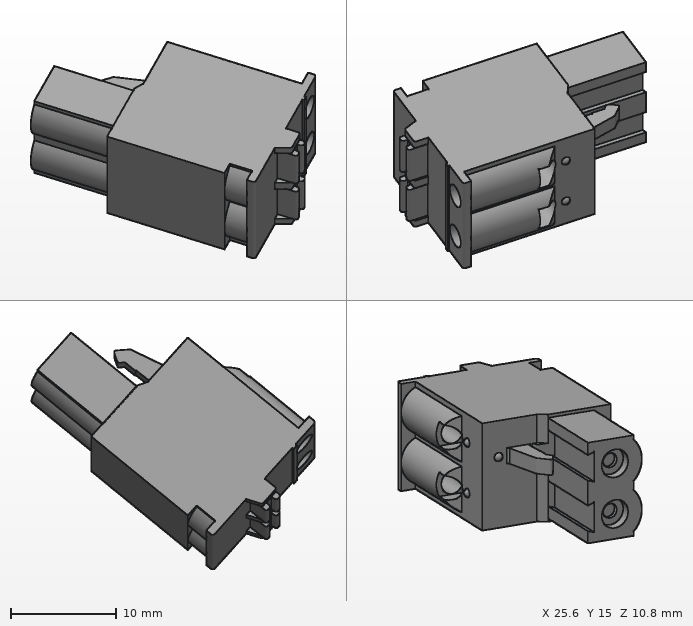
import cadquery as cq


total_length = 25.6
total_width = 15.0
total_height = 10.78
pole_offset = 2.53
pole_heights = (-pole_offset, pole_offset)

block_front = 8.27
block_back = 23.53
block_top = 13.47
step_front = 8.8
step_start = 6.7
step_end = 7.63
flange_thickness = 0.85
flange_front = block_back - flange_thickness
flange_round = 0.28

nose_height = 10.1
nose_flat = 1.8
nose_top = step_start
nose_barrel_radius = 2.9
bore_center = 3.81
bore_radius = 1.4
bore_depth = 1.02
contact_radius = 0.72
contact_depth = 0.45
key_depth = 0.7
key_mouth_width = 2.55
key_floor_width = 3.02

recess_front = 20.38
recess_depth = 1.3
cable_barrel_radius = 2.87
cable_barrel_shift = 0.18

screw_barrel_radius = 2.48
screw_barrel_center = total_width - screw_barrel_radius
ramp_start = 13.03
opening_radius = 1.2
opening_center = 14.15
tool_hole_radius = 1.15
tool_hole_center = 13.3

latch_width = 1.55
latch_center = 1.75
latch_root_top = 10.85
latch_root_flare = 0.2
latch_crest = (4.85, 9.73)
latch_tip = (3.69, 8.58)
latch_barb = (4.85, 7.9)
latch_throat = (5.25, 8.4)
latch_notch = 6.58
latch_underside = 8.47
latch_foot = (block_front, 7.85)
latch_seat = step_front + 0.25
latch_relief_radius = 0.3
latch_relief_offset = 0.28
latch_relief_center = 8.22
latch_round = 0.2

bump_radius = 0.45
bump_height = 0.33
screw_side_bump_place = 11.88
front_bump_place = 11.72
rib_place = 11.83
rib_width = 0.45
rib_height = 0.18

boss_back = 25.0
boss_bottom = 4.86
boss_slope_end = 5.48
boss_top = 7.55
boss_round = 0.2
lever_width = 3.95
lever_gap = 0.1
lever_bottom = 5.4
lever_top = 7.48
lever_round = 0.23
fork_root_bottom = 6.1
fork_root_top = 6.78
fork_flare = 0.1


def box(x_range, y_range, z_range):
    """Box between the given limits along each axis."""
    sizes = [high - low for low, high in (x_range, y_range, z_range)]
    return (
        cq.Workplane("XY")
        .box(*sizes, centered=False)
        .translate((x_range[0], y_range[0], z_range[0]))
    )


def plate(outline, height, center=0.0):
    """Straight-sided XY outline extruded along Z, centred on the given height."""
    profile = cq.Workplane("XY").polyline(outline).close()
    return profile.extrude(height / 2, both=True).translate((0, 0, center))


def rod_along_x(radius, start, end, y, z):
    """Cylinder along X between two X positions."""
    return cq.Workplane("YZ", origin=(start, y, z)).circle(radius).extrude(end - start)


def main_block():
    """Block with a stepped front and a flange at its back."""
    outline = [
        (block_front, 0),
        (block_back, 0),
        (block_back, total_width),
        (flange_front, total_width),
        (flange_front, block_top),
        (step_front, block_top),
        (step_front, step_end),
        (block_front, step_start),
    ]
    block = plate(outline, total_height)
    return block.edges("|Z and >X").fillet(flange_round)


def plug_nose():
    """Flat-topped nose whose lower side bulges into one round barrel per pole."""
    half_height = nose_height / 2
    nose = box((0, block_front), (nose_flat, nose_top), (-half_height, half_height))
    for z in pole_heights:
        nose = nose.union(rod_along_x(nose_barrel_radius, 0, block_front, bore_center, z))
    return nose.intersect(box((0, block_front), (0, nose_top), (-half_height, half_height)))


def contact_bore(z):
    """Stepped blind bore in the nose end."""
    bore = rod_along_x(bore_radius, 0, bore_depth, bore_center, z)
    return bore.union(rod_along_x(contact_radius, 0, bore_depth + contact_depth, bore_center, z))


def key_groove(z):
    """Dovetail groove along the nose, narrower at its mouth."""
    floor = nose_top - key_depth
    outline = [
        (nose_top, z - key_mouth_width / 2),
        (nose_top, z + key_mouth_width / 2),
        (floor, z + key_floor_width / 2),
        (floor, z - key_floor_width / 2),
    ]
    return cq.Workplane("YZ").polyline(outline).close().extrude(block_front)


def cable_recess():
    """Recess across the cable side, leaving a round barrel standing at each pole."""
    half_height = total_height / 2
    recess = box((recess_front, flange_front), (0, recess_depth), (-half_height, half_height))
    for z in pole_heights:
        recess = recess.cut(
            rod_along_x(
                cable_barrel_radius, recess_front, flange_front, cable_barrel_radius, z + cable_barrel_shift
            )
        )
    return recess


def screw_barrel(z):
    """Half-sunk barrel in front of the flange, with a 45 degree ramp at its front end."""
    barrel = rod_along_x(screw_barrel_radius, ramp_start, flange_front, screw_barrel_center, z)
    rise = total_width - block_top
    keep = [
        (ramp_start, block_top),
        (ramp_start + rise, total_width),
        (flange_front, total_width),
        (flange_front, block_top),
    ]
    return barrel.intersect(plate(keep, total_height))


def screw_opening(z):
    """Screw barrel opening, round in front and square behind, met by a tool hole from the back."""
    floor = tool_hole_center - tool_hole_radius
    round_front = (
        cq.Workplane("XZ", origin=(opening_center, floor, z))
        .circle(opening_radius)
        .extrude(floor - total_width)
    )
    square_back = box(
        (opening_center, opening_center + opening_radius),
        (floor, total_width),
        (z - opening_radius, z + opening_radius),
    )
    tool_hole = rod_along_x(tool_hole_radius, opening_center, block_back, tool_hole_center, z)
    return round_front.union(square_back).union(tool_hole)


def latch():
    """Hooked latch arm on the front face, with a round relief above its foot.

    Its root reaches into the block so that the two join fully.
    """
    relief_x = step_front - latch_relief_offset
    relief_top = latch_relief_center + latch_relief_radius
    relief_bottom = latch_relief_center - latch_relief_radius
    arm = (
        cq.Workplane("XY")
        .moveTo(latch_seat, latch_root_top)
        .lineTo(step_front, latch_root_top)
        .lineTo(step_front - latch_root_flare, latch_root_top - latch_root_flare)
        .lineTo(*latch_crest)
        .lineTo(*latch_tip)
        .lineTo(*latch_barb)
        .lineTo(*latch_throat)
        .lineTo(latch_notch, latch_throat[1])
        .lineTo(latch_notch, latch_underside)
        .lineTo(relief_x, relief_top)
        .threePointArc((relief_x + latch_relief_radius, latch_relief_center), (relief_x, relief_bottom))
        .lineTo(*latch_foot)
        .lineTo(block_front, step_start)
        .lineTo(latch_seat, step_start)
        .close()
        .extrude(latch_width / 2, both=True)
    )
    for corner in (latch_crest, latch_tip, latch_barb, latch_throat, latch_foot):
        arm = arm.edges(cq.selectors.NearestToPointSelector((*corner, 0))).fillet(latch_round)
    return arm.translate((0, 0, latch_center))


def bump(x, y, z):
    """Ball that is part sunk into a face, so that only a dome stands proud."""
    return cq.Workplane("XY").sphere(bump_radius).translate((x, y, z))


def rear_boss():
    """Sloped boss on the back, slotted to clear each lever."""
    outline = [
        (block_back, boss_bottom),
        (boss_back, boss_slope_end),
        (boss_back, boss_top),
        (block_back, boss_top),
    ]
    boss = plate(outline, total_height).edges("|Z and >X").fillet(boss_round)
    slot_width = lever_width + 2 * lever_gap
    for z in pole_heights:
        slot = box(
            (block_back, boss_back), (boss_bottom, boss_top), (z - slot_width / 2, z + slot_width / 2)
        )
        boss = boss.cut(slot)
    return boss


def make_housing():
    """Housing with its nose, latch, barrels, domes and the rib across its back."""
    housing = main_block().union(plug_nose()).union(rear_boss()).union(latch())
    housing = housing.cut(cable_recess())
    bump_sink = bump_radius - bump_height
    for z in pole_heights:
        housing = housing.cut(contact_bore(z)).cut(key_groove(z))
        housing = housing.union(screw_barrel(z)).cut(screw_opening(z))
        housing = housing.union(bump(screw_side_bump_place, block_top - bump_sink, z))
    housing = housing.union(bump(step_front + bump_sink, front_bump_place, latch_center))
    rib = box(
        (block_back, block_back + rib_height),
        (rib_place - rib_width / 2, rib_place + rib_width / 2),
        (-total_height / 2, total_height / 2),
    )
    return housing.union(rib)


def make_lever(z):
    """Release lever with a forked end, standing against the back of the housing."""
    outline = [
        (block_back, lever_bottom),
        (total_length, lever_bottom),
        (total_length, fork_root_bottom - fork_flare),
        (boss_back, fork_root_bottom),
        (boss_back, fork_root_top),
        (total_length, fork_root_top + fork_flare),
        (total_length, lever_top),
        (block_back, lever_top),
    ]
    return plate(outline, lever_width, z).edges("|Z and >X").fillet(lever_round)


housing = make_housing()
levers = [make_lever(z) for z in pole_heights]

result = cq.Compound.makeCompound([housing.val(), *[lever.val() for lever in levers]])